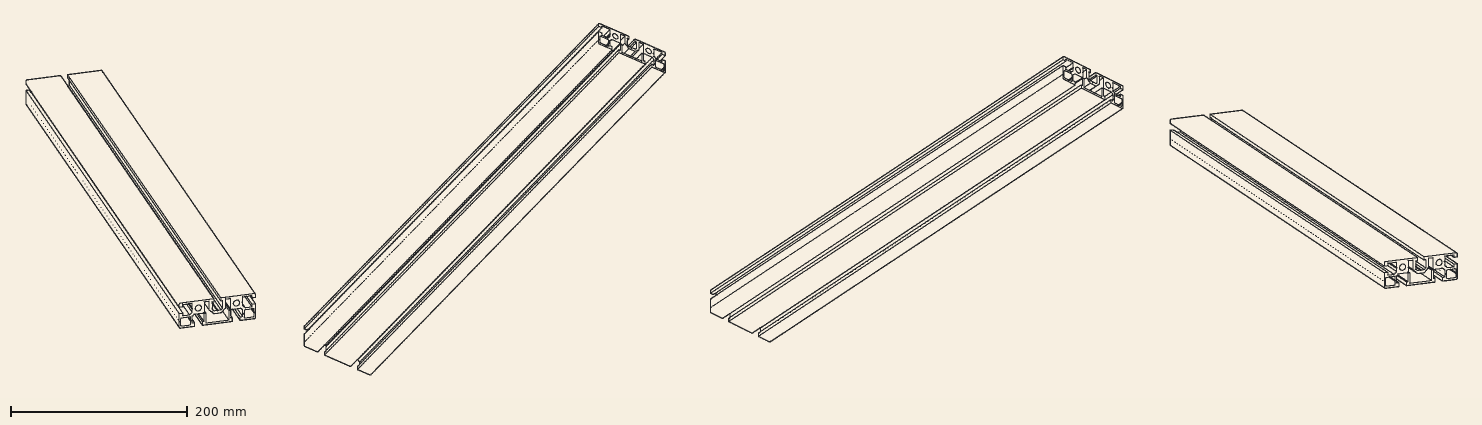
import cadquery as cq

length = 609.5
width = 90.0
height = 32.0
half_width = width / 2

top_plate = 2.5
bottom_plate = 2.5
outer_wall = 1.7
slot_mouth = 8.0
notch_depth = 0.5
notch_half_width = 0.5
outer_fillet = 1.5

side_lip = 4.0
side_slot_z = 22.5
side_slot_floor = 15.0
side_slot_back = 30.0
side_slot_chamfer = 3.0

hole_diameter = 7.5
block_center = 22.5
block_floor = 15.0
foot_slot_inner = 16.0
foot_slot_outer = 30.0
foot_lip = 4.6
foot_mouth_inner = 17.5
foot_mouth_outer = 27.0
foot_slot_chamfer = 2.5

corner_chamber_inner = 32.0
corner_chamber_top = 13.0
corner_chamber_fillet = 1.0

chamber_upper_half = 15.0
chamber_lower_half = 13.5
chamber_shoulder_z = 14.5

channel_wall = 3.5
channel_half = 6.0
channel_lip = 3.95
channel_floor = 16.5
channel_bottom = 13.0
channel_chamfer = 2.0
channel_outer_chamfer = 5.5


def prism(points):
    """Extrude a closed (Y, Z) outline over the full length."""
    return cq.Workplane("YZ").polyline(points).close().extrude(length)


def box(y_min, y_max, z_min, z_max):
    """Full-length bar with a rectangular section."""
    return prism([(y_min, z_min), (y_max, z_min), (y_max, z_max), (y_min, z_max)])


def u_section(half, bottom, chamfer, top):
    """Full-length bar, square at the top and chamfered at both bottom corners."""
    return prism([
        (-half, top),
        (-half, bottom + chamfer),
        (-half + chamfer, bottom),
        (half - chamfer, bottom),
        (half, bottom + chamfer),
        (half, top),
    ])


def side_slot():
    """T-slot in the +Y face, with a small locating notch in its back wall."""
    roof = height - top_plate
    lip_inner = half_width - side_lip
    cavity = prism([
        (lip_inner, side_slot_floor),
        (lip_inner, roof),
        (side_slot_back, roof),
        (side_slot_back, side_slot_z + notch_half_width),
        (side_slot_back - notch_depth, side_slot_z),
        (side_slot_back, side_slot_z - notch_half_width),
        (side_slot_back, side_slot_floor + side_slot_chamfer),
        (side_slot_back + side_slot_chamfer, side_slot_floor),
    ])
    mouth = box(lip_inner, half_width, side_slot_z - slot_mouth / 2, side_slot_z + slot_mouth / 2)
    return cavity.union(mouth)


def foot_slot():
    """T-slot in the underside, below the screw hole."""
    cavity = prism([
        (foot_slot_inner, foot_lip),
        (foot_slot_outer, foot_lip),
        (foot_slot_outer, block_floor - foot_slot_chamfer),
        (foot_slot_outer - foot_slot_chamfer, block_floor),
        (foot_slot_inner, block_floor),
    ])
    mouth = box(foot_mouth_inner, foot_mouth_outer, 0, foot_lip)
    return cavity.union(mouth)


def corner_chamber():
    """Closed chamber with rounded corners and a small notch midway up both side walls."""
    outer_face = half_width - outer_wall
    middle = (bottom_plate + corner_chamber_top) / 2
    chamber = box(corner_chamber_inner, outer_face, bottom_plate, corner_chamber_top)
    notches = prism([
        (corner_chamber_inner - notch_depth, middle),
        (corner_chamber_inner, middle - notch_half_width),
        (outer_face, middle - notch_half_width),
        (outer_face + notch_depth, middle),
        (outer_face, middle + notch_half_width),
        (corner_chamber_inner, middle + notch_half_width),
    ])
    return chamber.edges("|X").fillet(corner_chamber_fillet).union(notches)


def screw_hole():
    """Round hole running the full length."""
    return (
        cq.Workplane("YZ")
        .center(block_center, side_slot_z)
        .circle(hole_diameter / 2)
        .extrude(length)
    )


def central_chamber():
    """Hollow around the channel, split by the channel above its bottom."""
    upper = box(-chamber_upper_half, chamber_upper_half, chamber_shoulder_z, height - top_plate)
    lower = box(-chamber_lower_half, chamber_lower_half, bottom_plate, chamber_shoulder_z)
    channel = u_section(channel_half + channel_wall, channel_bottom, channel_outer_chamfer, height)
    return upper.union(lower).cut(channel)


def channel_slot():
    """T-slot in the top face, inside the channel, with a locating notch in its floor."""
    cavity = u_section(channel_half, channel_floor, channel_chamfer, height - channel_lip)
    mouth = box(-slot_mouth / 2, slot_mouth / 2, height - channel_lip, height)
    floor_notch = prism([
        (-notch_half_width, channel_floor),
        (0, channel_floor - notch_depth),
        (notch_half_width, channel_floor),
    ])
    return cavity.union(mouth).union(floor_notch)


result = box(-half_width, half_width, 0, height).edges("|X").fillet(outer_fillet)
result = result.cut(central_chamber()).cut(channel_slot())
for feature in (side_slot(), foot_slot(), corner_chamber(), screw_hole()):
    result = result.cut(feature).cut(feature.mirror("XZ"))